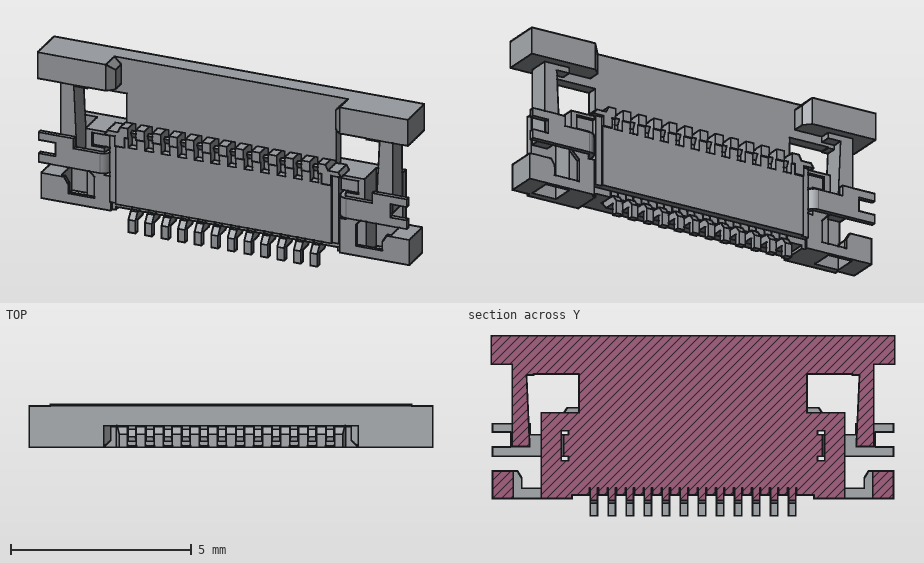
import cadquery as cq


contact_count = 12
pitch = 0.5
contact_width = 0.21
slot_width = 0.25
tail_thickness = 0.175
tail_bend_low = 0.385
tail_bend_high = 0.59
leg_bottom = 0.355
leg_ramp_front = 0.53
leg_end = 0.75
head_front = 0.17
head_peak_y = 0.29
head_peak_z = 2.99
head_nose_z = 2.965
head_chin_z = 2.8
head_stem_y = 0.26
head_saddle_y = 0.505
head_saddle_z = 2.82

back_half = 5.02
foot_half = 5.565
foot_block_inner = 4.985
foot_inner = 4.75
pocket_inner = 3.95
body_half = 4.215
strip_half = 3.46
step_half = 3.355
plate_half = 3.26

depth = 1.2
body_front = 0.165
strip_front = 0.11
plate_front = 0.045
channel_front = 0.27
back_front = 0.98
foot_back = 1.085
lower_wall_front = 0.27

housing_bottom = 0.475
center_bottom = 0.575
pocket_floor = 0.77
foot_top = 1.25
foot_chamfer_x = 0.12
foot_chamfer_z = 0.2
pocket_corner_z = 1.42
pocket_top = pocket_corner_z + body_half - pocket_inner
housing_top = 2.86

lip_back = 0.57
lip_bevel_y = 0.37
lip_bevel_drop = 0.1
lip_top = 3.165
lip_shoulder_z = 3.0
lip_half = 3.58
lip_shoulder_half = 3.49
lip_rise_outer = 3.18
lip_rise_inner = 3.1
slot_floor = 2.56
lip_leg_inner = 2.98

recess_half = 4.03
recess_bottom = 2.36
recess_top = 2.765
recess_depth = 0.1
opening_half = 3.65
opening_bottom = 1.53
opening_top = recess_bottom

tab_thickness = 0.135
tab_bottom = 1.65
tab_neck_top = 2.255
tab_top = 2.56
tab_neck_half = 4.515
tab_notch_half = 5.06
tab_notch_bottom = 1.915
tab_notch_top = 2.325
bend_radius = 0.265
tab_leg_end = 0.8

slider_half = 5.6
slider_top = 5.0
tongue_front = 0.6
slider_back = 1.15
bar_bottom = 4.2
head_inner = 3.33
head_chamfer = 0.205
tongue_half = 3.164
tongue_back = 0.945
tongue_bottom = 2.5
web_bottom = 3.93
web_end_bottom = 3.905
web_end_half = 4.42
arm_half = 5.015
arm_inner_top = 4.62
arm_inner_bottom = 4.525
arm_bottom = 1.92
arm_root_bottom = 4.03


def box(x0, x1, y0, y1, z0, z1):
    """Box between two opposite corners."""
    return cq.Workplane("XY").box(x1 - x0, y1 - y0, z1 - z0, centered=False).translate((x0, y0, z0))


def front_prism(points, y0, y1):
    """Prism of an X-Z outline, from depth y0 back to y1."""
    return cq.Workplane("XZ", origin=(0, y0, 0)).polyline(points).close().extrude(y0 - y1)


def side_prism(points, width, x_center):
    """Prism of a Y-Z outline, centred on x_center."""
    plane = cq.Workplane("YZ", origin=(x_center - width / 2, 0, 0))
    return plane.polyline(points).close().extrude(width)


def both_ends(shape):
    """The +X shape together with its mirror image at -X."""
    return shape.union(shape.mirror("YZ"))


def make_housing():
    back = box(-back_half, back_half, back_front, depth, housing_bottom, housing_top)
    body = box(-body_half, body_half, channel_front, back_front, housing_bottom, housing_top)
    face = box(-body_half, body_half, body_front, channel_front, housing_bottom, housing_top)
    strips = box(-strip_half, strip_half, strip_front, body_front, pocket_floor, housing_top)
    plate = box(-plate_half, plate_half, plate_front, strip_front, pocket_floor, housing_top)
    housing = back.union(body).union(face).union(strips).union(plate)

    housing = housing.cut(box(-strip_half, strip_half, 0, lower_wall_front, 0, pocket_floor))
    housing = housing.cut(box(-step_half, step_half, 0, depth, 0, center_bottom))

    pocket = front_prism(
        [
            (pocket_inner, pocket_floor),
            (body_half, pocket_floor),
            (body_half, pocket_top),
            (pocket_inner, pocket_corner_z),
        ],
        body_front,
        channel_front,
    )
    recess = box(strip_half, recess_half, body_front, body_front + recess_depth, recess_bottom, recess_top)
    opening = box(strip_half, opening_half, 0, depth, opening_bottom, opening_top)
    housing = housing.cut(both_ends(pocket.union(recess).union(opening)))
    return housing.union(both_ends(make_foot()))


def make_foot():
    block = box(foot_block_inner, foot_half, body_front, foot_back, housing_bottom, foot_top)
    face = front_prism(
        [
            (body_half, housing_bottom),
            (foot_half, housing_bottom),
            (foot_half, foot_top),
            (foot_inner + foot_chamfer_x, foot_top),
            (foot_inner, foot_top - foot_chamfer_z),
            (foot_inner, pocket_floor),
            (body_half, pocket_floor),
        ],
        body_front,
        channel_front,
    )
    return block.union(face)


def make_lip():
    half_outline = [
        (lip_half, housing_top),
        (lip_shoulder_half, lip_shoulder_z),
        (lip_rise_outer, lip_shoulder_z),
        (lip_rise_inner, lip_top),
    ]
    mirrored = [(-x, z) for x, z in reversed(half_outline)]
    lip = front_prism(half_outline + mirrored, 0, lip_back)

    bevel = [
        (lip_bevel_y, lip_top),
        (lip_back, lip_top),
        (lip_back, lip_top - lip_bevel_drop),
    ]
    lip = lip.cut(side_prism(bevel, 2 * lip_half, 0))
    leg = box(lip_leg_inner, plate_half, 0, plate_front, slot_floor, housing_top)
    return lip.union(both_ends(leg))


def contact_positions():
    return [(i - (contact_count - 1) / 2) * pitch for i in range(contact_count)]


def make_slot(x):
    half = slot_width / 2
    top_slot = box(x - half, x + half, 0, tongue_front, slot_floor, lip_top)
    bottom_slot = box(x - half, x + half, 0, leg_end, center_bottom, pocket_floor)
    return top_slot.union(bottom_slot)


def make_contact(x):
    tail = [
        (0, 0),
        (tail_thickness, 0),
        (tail_thickness, leg_bottom),
        (leg_ramp_front, leg_bottom),
        (leg_end, leg_bottom + leg_end - leg_ramp_front),
        (leg_end, tail_bend_high),
        (body_front, tail_bend_high),
        (0, tail_bend_low),
    ]
    half = contact_width / 2
    root = box(x - half, x + half, lower_wall_front, back_front, center_bottom, pocket_floor)
    head = [
        (head_stem_y, slot_floor),
        (tongue_front, slot_floor),
        (tongue_front, head_saddle_z),
        (head_saddle_y, head_saddle_z),
        (head_peak_y, head_peak_z),
        (head_front, head_nose_z),
        (head_stem_y, head_chin_z),
    ]
    contact = side_prism(tail, contact_width, x).union(root)
    return contact.union(side_prism(head, contact_width, x))


def make_tab():
    """Forked solder tab at +X, bent back into the housing opening."""
    bend_x = strip_half + bend_radius
    fork = front_prism(
        [
            (bend_x, tab_bottom),
            (foot_half, tab_bottom),
            (foot_half, tab_notch_bottom),
            (tab_notch_half, tab_notch_bottom),
            (tab_notch_half, tab_notch_top),
            (foot_half, tab_notch_top),
            (foot_half, tab_top),
            (tab_neck_half, tab_top),
            (tab_neck_half, tab_neck_top),
            (bend_x, tab_neck_top),
        ],
        0,
        tab_thickness,
    )
    bend = (
        cq.Workplane("XY", origin=(0, 0, tab_bottom))
        .moveTo(bend_x, 0)
        .radiusArc((strip_half, bend_radius), bend_radius)
        .lineTo(strip_half, tab_leg_end)
        .lineTo(strip_half + tab_thickness, tab_leg_end)
        .lineTo(strip_half + tab_thickness, bend_radius)
        .radiusArc((bend_x, tab_thickness), -(bend_radius - tab_thickness))
        .close()
        .extrude(tab_neck_top - tab_bottom)
    )
    return fork.union(bend)


def make_slider():
    bar = box(-slider_half, slider_half, tongue_front, slider_back, bar_bottom, slider_top)
    head = (
        box(head_inner, slider_half, 0, tongue_front, bar_bottom, slider_top)
        .edges("<X and (>Z or <Y)")
        .chamfer(head_chamfer)
    )
    tongue = box(-tongue_half, tongue_half, tongue_front, tongue_back, tongue_bottom, bar_bottom)
    web = box(tongue_half, arm_half, tongue_front, tongue_back, web_bottom, bar_bottom)
    web_end = box(web_end_half, arm_half, tongue_front, tongue_back, web_end_bottom, web_bottom)
    arm = front_prism(
        [
            (arm_inner_bottom, arm_bottom),
            (arm_half, arm_bottom),
            (arm_half, bar_bottom),
            (body_half, bar_bottom),
            (body_half, arm_root_bottom),
            (arm_inner_top, arm_root_bottom),
        ],
        channel_front,
        tongue_back,
    )
    ends = head.union(web).union(web_end).union(arm)
    return bar.union(tongue).union(both_ends(ends))


result = make_housing().union(make_lip())
for contact_x in contact_positions():
    result = result.cut(make_slot(contact_x))
result = result.union(make_slider()).union(both_ends(make_tab()))
for contact_x in contact_positions():
    result = result.union(make_contact(contact_x))